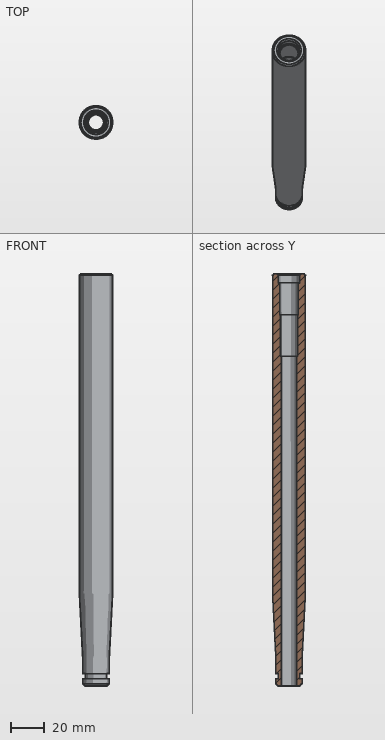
import cadquery as cq

length = 246.0
shank_diameter = 20.0
neck_diameter = 16.0
groove_diameter = 13.0
taper_top = 55.0
taper_bottom = 17.0
groove_top = 7.5
groove_bottom = 4.5
top_chamfer = 1.0
bottom_chamfer = 1.5

through_diameter = 9.0
counterbore_diameter = 12.5
counterbore_depth = 5.5
seat_diameter = 10.8
seat_depth = 24.5
pilot_diameter = 10.0
pilot_depth = 49.2
mouth_diameter = 14.5
mouth_depth = 1.0


def make_body():
    """Revolve the solid outer outline around Z."""
    shank_radius = shank_diameter / 2
    neck_radius = neck_diameter / 2
    groove_radius = groove_diameter / 2
    outline = [
        (0, 0),
        (neck_radius - bottom_chamfer, 0),
        (neck_radius, bottom_chamfer),
        (neck_radius, groove_bottom),
        (groove_radius, groove_bottom),
        (groove_radius, groove_top),
        (neck_radius, groove_top),
        (neck_radius, taper_bottom),
        (shank_radius, taper_top),
        (shank_radius, length - top_chamfer),
        (shank_radius - top_chamfer, length),
        (0, length),
    ]
    return cq.Workplane("XZ").polyline(outline).close().revolve(360, (0, 0), (0, 1))


def make_bore():
    """Revolve the bore: conical mouth, counterbore, seat, pilot and through hole."""
    mouth_radius = mouth_diameter / 2
    counterbore_radius = counterbore_diameter / 2
    seat_radius = seat_diameter / 2
    pilot_radius = pilot_diameter / 2
    through_radius = through_diameter / 2
    outline = [
        (0, 0),
        (through_radius, 0),
        (through_radius, length - pilot_depth),
        (pilot_radius, length - pilot_depth),
        (pilot_radius, length - seat_depth),
        (seat_radius, length - seat_depth),
        (seat_radius, length - counterbore_depth),
        (counterbore_radius, length - counterbore_depth),
        (counterbore_radius, length - mouth_depth),
        (mouth_radius, length),
        (0, length),
    ]
    return cq.Workplane("XZ").polyline(outline).close().revolve(360, (0, 0), (0, 1))


result = make_body().cut(make_bore())